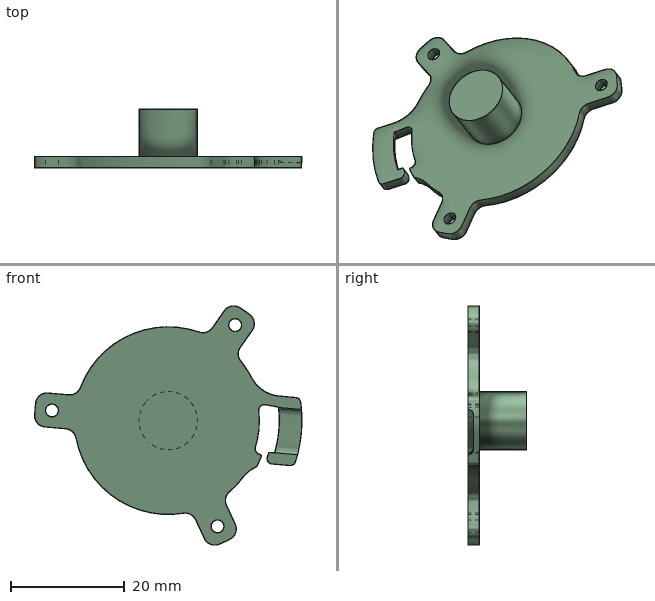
import cadquery as cq
import math

plate_thickness = 2.0
total_depth = 10.35
disc_radius = 16.5
boss_radius = 5.1
outer_radius = 23.5

lug_count = 3
lug_width = 6.0
lug_corner_radius = 2.0
lug_root_radius = 2.0
hole_circle_radius = 20.5
hole_diameter = 2.2

arm_half_width = 6.0
arm_root_radius = 6.0
arm_corner_radius = 1.0
window_half_width = 4.0
window_inner_radius = 16.0
window_outer_radius = 19.5
window_corner_radius = 1.0
window_top_rise = 0.35
ledge_angle = 15.2
gap_inner_radius = 17.52
gap_outer_radius = 18.5
foot_corner_radius = 1.0
gap_edge_radius = 0.3

recess_depth = 1.0
recess_end_radius = 1.0
strap_edge_radius = 0.5

part_tilt = 5.0


def cylinder(radius, depth):
    """Disc standing on the front face, Y = 0, and reaching back along +Y."""
    return cq.Workplane("XZ").circle(radius).extrude(-depth)


def block(x_min, x_max, z_min, z_max, y_min, y_max):
    size = (x_max - x_min, y_max - y_min, z_max - z_min)
    return cq.Workplane("XY").box(*size, centered=False).translate((x_min, y_min, z_min))


def ring_sector(inner, outer, z_min, z_max):
    """Part of a ring, on the +X side, between two heights."""
    ring = cylinder(outer, plate_thickness).cut(cylinder(inner, plate_thickness))
    return ring.intersect(block(0, outer, z_min, z_max, 0, plate_thickness))


def radial_tab(half_width):
    """Straight tab along +X whose end follows the outer circle."""
    tab = block(0, outer_radius, -half_width, half_width, 0, plate_thickness)
    return tab.intersect(cylinder(outer_radius, plate_thickness))


def fillet_at(body, radius, circle_radius, height, angle=0):
    """Round the Y-parallel edge where a circle crosses a height, turned by an angle."""
    polar = math.asin(height / circle_radius) + math.radians(angle)
    point = (circle_radius * math.cos(polar), plate_thickness / 2, circle_radius * math.sin(polar))
    return body.edges("|Y").edges(cq.selectors.NearestToPointSelector(point)).fillet(radius)


lug_angles = [180 + i * 360 / lug_count for i in range(lug_count)]
body = cylinder(disc_radius, plate_thickness).union(radial_tab(arm_half_width))
for angle in lug_angles:
    lug = radial_tab(lug_width / 2).rotate((0, 0, 0), (0, 1, 0), -angle)
    body = body.union(lug)

for side in (-1, 1):
    body = fillet_at(body, arm_root_radius, disc_radius, side * arm_half_width)
    body = fillet_at(body, arm_corner_radius, outer_radius, side * arm_half_width)
    for angle in lug_angles:
        body = fillet_at(body, lug_root_radius, disc_radius, side * lug_width / 2, angle)
        body = fillet_at(body, lug_corner_radius, outer_radius, side * lug_width / 2, angle)

for angle in lug_angles:
    x = hole_circle_radius * math.cos(math.radians(angle))
    z = hole_circle_radius * math.sin(math.radians(angle))
    body = body.cut(cylinder(hole_diameter / 2, plate_thickness).translate((x, 0, z)))

ledge_slope = math.tan(math.radians(ledge_angle))
window_top = window_half_width + window_top_rise
gap_middle_radius = (gap_inner_radius + gap_outer_radius) / 2
gap_middle = gap_middle_radius * math.cos(math.radians(ledge_angle))
window_outline = [
    (0, 0),
    (gap_middle, -gap_middle * ledge_slope),
    (gap_middle, -window_half_width),
    (outer_radius, -window_half_width),
    (outer_radius, window_half_width),
    (window_outer_radius, window_half_width),
    (window_inner_radius, window_top),
    (0, window_top),
]
window_sides = cq.Workplane("XZ").polyline(window_outline).close().extrude(-plate_thickness)
window_ring = ring_sector(
    window_inner_radius, window_outer_radius, -window_outer_radius, window_outer_radius
)
body = body.cut(window_ring.intersect(window_sides))

body = body.cut(
    ring_sector(gap_inner_radius, gap_outer_radius, -2 * arm_half_width, -window_half_width)
)

ledge_sine = math.sin(math.radians(ledge_angle))
body = fillet_at(body, window_corner_radius, window_inner_radius, window_top)
body = fillet_at(body, window_corner_radius, window_inner_radius, -window_inner_radius * ledge_sine)
body = fillet_at(body, gap_edge_radius, gap_inner_radius, -gap_inner_radius * ledge_sine)
body = fillet_at(body, gap_edge_radius, gap_outer_radius, -window_half_width)
body = fillet_at(body, foot_corner_radius, gap_outer_radius, -arm_half_width)

recess = block(
    window_inner_radius, outer_radius + 0.45,
    -window_half_width, window_half_width,
    -recess_depth, recess_depth,
)
recess = recess.edges(">Y and |X").fillet(recess_end_radius)
strap_zone = ring_sector(
    window_outer_radius, outer_radius + 0.45, -window_half_width, window_half_width
)
body = body.cut(recess.intersect(strap_zone))

strap_edge_point = (window_outer_radius, recess_depth, 0)
body = body.edges(cq.selectors.NearestToPointSelector(strap_edge_point)).fillet(strap_edge_radius)

body = body.union(cylinder(boss_radius, total_depth))
result = body.rotate((0, 0, 0), (0, 1, 0), part_tilt)